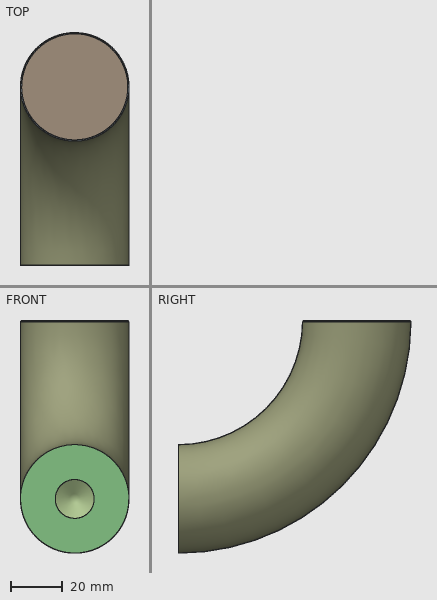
import cadquery as cq
import math

overall_size = 90.0
bar_diameter = 42.0
chamfer_size = 0.5
bore_diameter = 15.0
bore_depth = 27.0
drill_tip_angle = 118.0

bar_radius = bar_diameter / 2
bend_radius = overall_size - bar_radius
bore_radius = bore_diameter / 2
tip_length = bore_radius / math.tan(math.radians(drill_tip_angle / 2))


def make_elbow():
    """Round bar bent through 90 degrees, from the front face up to the top face.

    The lower end is centred on the origin and faces -Y; the upper end faces +Z.
    """
    front_face = cq.Workplane("XZ").circle(bar_radius)
    bend_axis_start = (0, bend_radius)
    bend_axis_end = (1, bend_radius)
    return front_face.revolve(90, bend_axis_start, bend_axis_end)


def make_bore():
    """Blind hole running along +Y from the front face, with a conical drill tip."""
    half_profile = (
        cq.Workplane("XY")
        .lineTo(bore_radius, 0)
        .lineTo(bore_radius, bore_depth)
        .lineTo(0, bore_depth + tip_length)
        .close()
    )
    return half_profile.revolve(360, (0, 0), (0, 1))


elbow = make_elbow().faces(">Z").chamfer(chamfer_size)
result = elbow.cut(make_bore())